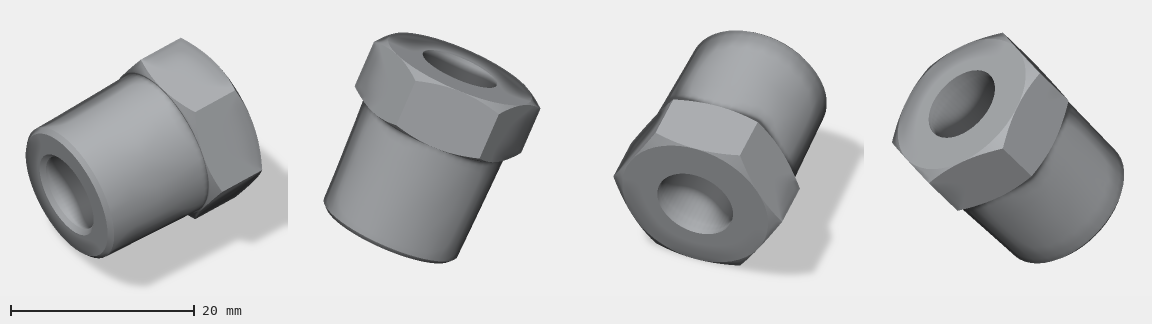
import cadquery as cq
import math

total_length = 20.0
hex_sides = 6
across_flats = 17.0
hex_length = 7.0
hex_chamfer_angle = 30.0
hex_face_radius = 8.48
shank_base_diameter = 16.62
taper = 1 / 16
shank_collar_length = 0.15
tip_chamfer = 0.5
bore_diameter = 8.8
bore_chamfer = 0.5

across_corners = across_flats / math.cos(math.pi / hex_sides)
corner_radius = across_corners / 2
hex_chamfer_depth = (corner_radius - hex_face_radius) * math.tan(math.radians(hex_chamfer_angle))
shank_length = total_length - hex_length
taper_length = shank_length - shank_collar_length - tip_chamfer
shank_base_radius = shank_base_diameter / 2
shank_tip_radius = shank_base_radius - taper * taper_length / 2
bore_radius = bore_diameter / 2
tip_y = 0.0
hex_start_y = tip_y + shank_length
hex_end_y = tip_y + total_length


def revolve_about_y(points):
    """Turn a closed outline of (radius, y) points about the Y axis."""
    return cq.Workplane("XY").polyline(points).close().revolve(axisStart=(0, 0, 0), axisEnd=(0, 1, 0))


def make_hexagon():
    """Hexagon with corners on the X axis, both ends chamfered by a cone."""
    prism = (
        cq.Workplane("XZ", origin=(0, hex_end_y, 0))
        .polygon(hex_sides, across_corners)
        .extrude(hex_length)
    )
    chamfer_envelope = revolve_about_y([
        (0, hex_start_y),
        (hex_face_radius, hex_start_y),
        (corner_radius, hex_start_y + hex_chamfer_depth),
        (corner_radius, hex_end_y - hex_chamfer_depth),
        (hex_face_radius, hex_end_y),
        (0, hex_end_y),
    ])
    return prism.intersect(chamfer_envelope)


def make_shank():
    """Shank with a short straight collar, a long taper and a chamfered tip."""
    return revolve_about_y([
        (0, tip_y),
        (shank_tip_radius - tip_chamfer, tip_y),
        (shank_tip_radius, tip_y + tip_chamfer),
        (shank_base_radius, hex_start_y - shank_collar_length),
        (shank_base_radius, hex_start_y),
        (0, hex_start_y),
    ])


def make_bore():
    """Through bore with a chamfered mouth at the tip."""
    return revolve_about_y([
        (0, tip_y),
        (bore_radius + bore_chamfer, tip_y),
        (bore_radius, tip_y + bore_chamfer),
        (bore_radius, hex_end_y),
        (0, hex_end_y),
    ])


result = make_hexagon().union(make_shank()).cut(make_bore())